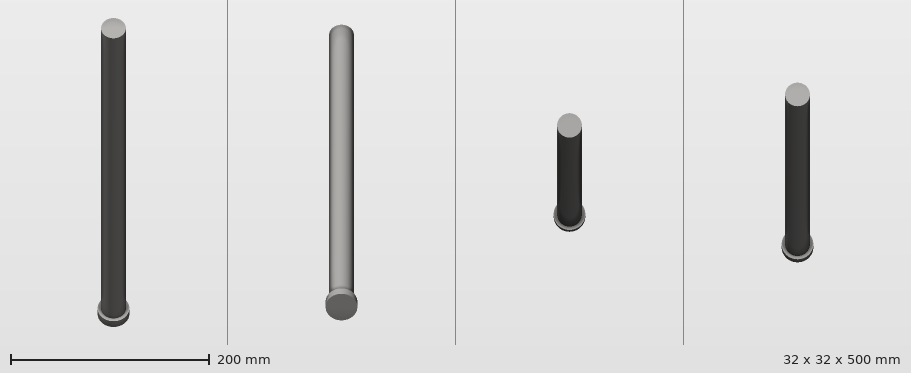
import cadquery as cq

total_length = 500.0
shank_diameter = 25.0
head_diameter = 32.0
head_height = 10.0


def make_head():
    """Cylindrical head at the bottom of the pin."""
    return cq.Workplane("XY").circle(head_diameter / 2).extrude(head_height)


def make_shank():
    """Straight cylindrical shank running the full length of the pin."""
    return cq.Workplane("XY").circle(shank_diameter / 2).extrude(total_length)


result = make_head().union(make_shank())